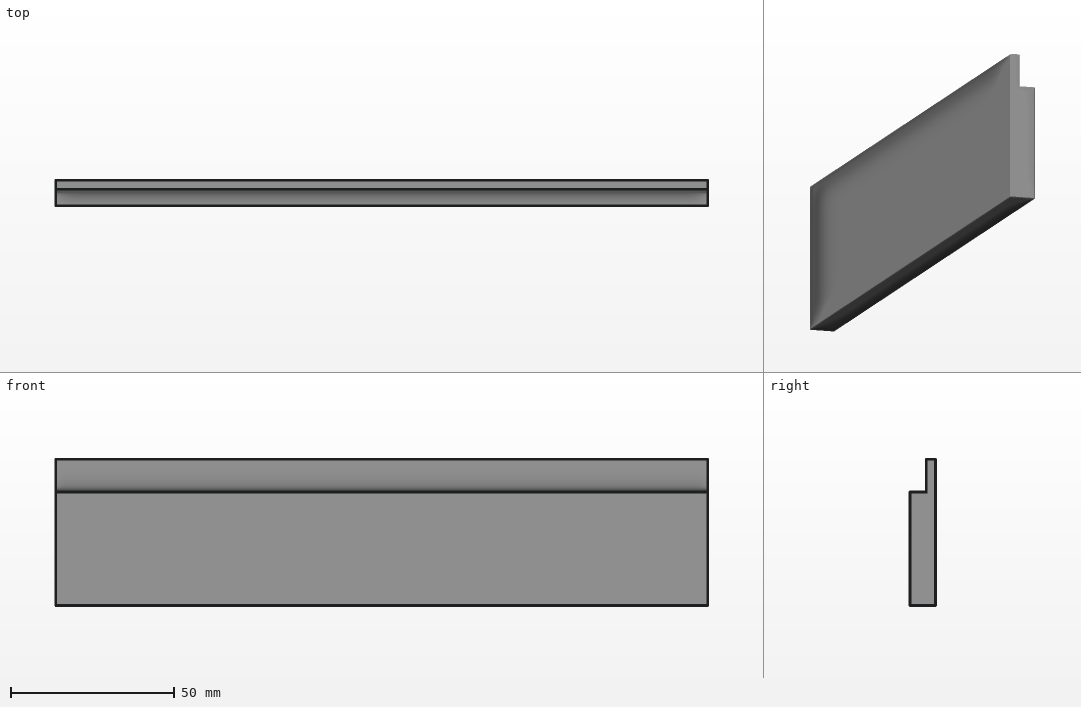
import cadquery as cq

length = 200.0
thickness = 8.0
height = 45.0

lip_thickness = 3.0
lip_height = 10.0

edge_break = 0.2

shoulder_height = height - lip_height
lip_front = thickness - lip_thickness


def stepped_bar():
    """Stepped cross-section in the YZ plane, extruded along X."""
    profile = [
        (0, 0),
        (thickness, 0),
        (thickness, height),
        (lip_front, height),
        (lip_front, shoulder_height),
        (0, shoulder_height),
    ]
    return cq.Workplane("YZ").polyline(profile).close().extrude(length)


def is_outside_edge(edge):
    """True for all edges except the inside corner where the lip meets the shoulder."""
    inside_corner = cq.Vector(length / 2, lip_front, shoulder_height)
    return (edge.Center() - inside_corner).Length > edge_break


result = stepped_bar().edges().filter(is_outside_edge).chamfer(edge_break)